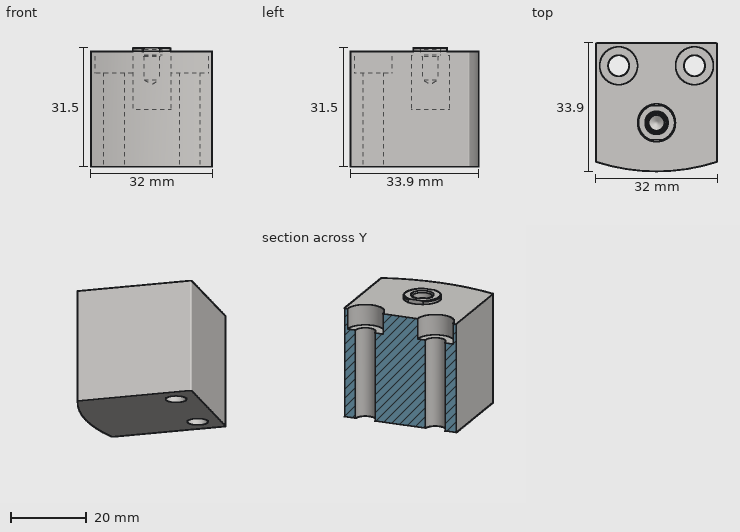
import cadquery as cq

WIDTH = 32.0
HEIGHT = 30.5
BACK_Y = 21.05
CROWN_Y = -12.85
FRONT_CORNER_Y = -10.3
EDGE_RADIUS = 0.4

MOUNT_SPACING = 20.0
MOUNT_BACK_OFFSET = 6.0
MOUNT_Y = BACK_Y - MOUNT_BACK_OFFSET
MOUNT_DIAMETER = 5.5
COUNTERBORE_DIAMETER = 10.0
COUNTERBORE_DEPTH = 5.7

ROD_DIAMETER = 10.0
ROD_PROJECTION = 1.0
ROD_SEAT_DEPTH = 15.25
ROD_TOP = HEIGHT + ROD_PROJECTION
ROD_BOTTOM = HEIGHT - ROD_SEAT_DEPTH
ROD_CHAMFER = 0.25
FLATS_WIDTH = 9.0
FLATS_LENGTH = 2.0

SOCKET_MOUTH_DIAMETER = 6.1
SOCKET_DIAMETER = 5.3
SOCKET_STEP_DEPTH = 1.9
STEP_CONE_DIAMETER = 5.02
DRILL_DIAMETER = 4.15
DRILL_DEPTH = 8.48
DRILL_POINT_HEIGHT = 1.2


def make_housing():
    """Block with a curved front, two mounting holes and the rod bore."""
    half_width = WIDTH / 2
    block = (
        cq.Workplane("XY")
        .moveTo(-half_width, BACK_Y)
        .lineTo(-half_width, FRONT_CORNER_Y)
        .threePointArc((0, CROWN_Y), (half_width, FRONT_CORNER_Y))
        .lineTo(half_width, BACK_Y)
        .close()
        .extrude(HEIGHT)
        .edges("|Z")
        .fillet(EDGE_RADIUS)
    )
    mount_points = [(side * MOUNT_SPACING / 2, MOUNT_Y) for side in (-1, 1)]
    drilled = (
        block.faces(">Z")
        .workplane(origin=(0, 0, HEIGHT))
        .pushPoints(mount_points)
        .cboreHole(MOUNT_DIAMETER, COUNTERBORE_DIAMETER, COUNTERBORE_DEPTH)
    )
    rod_bore = (
        cq.Workplane("XY", origin=(0, 0, ROD_BOTTOM))
        .circle(ROD_DIAMETER / 2)
        .extrude(ROD_SEAT_DEPTH)
    )
    return drilled.cut(rod_bore)


def make_socket_cutter():
    """Revolved space of the stepped socket, with its countersunk mouth."""
    mouth_radius = SOCKET_MOUTH_DIAMETER / 2
    socket_radius = SOCKET_DIAMETER / 2
    drill_radius = DRILL_DIAMETER / 2
    cone_radius = STEP_CONE_DIAMETER / 2
    cone_height = cone_radius - drill_radius
    mouth_depth = mouth_radius - socket_radius
    profile = [
        (0, ROD_TOP),
        (mouth_radius, ROD_TOP),
        (socket_radius, ROD_TOP - mouth_depth),
        (socket_radius, ROD_TOP - SOCKET_STEP_DEPTH),
        (cone_radius, ROD_TOP - SOCKET_STEP_DEPTH),
        (drill_radius, ROD_TOP - SOCKET_STEP_DEPTH - cone_height),
        (drill_radius, ROD_TOP - DRILL_DEPTH),
        (0, ROD_TOP - DRILL_DEPTH - DRILL_POINT_HEIGHT),
    ]
    return cq.Workplane("XZ").polyline(profile).close().revolve(360, (0, 0), (0, 1))


def make_flat_cutter(side):
    """Box that trims the upper rod end to one wrench flat."""
    return (
        cq.Workplane("XY", origin=(0, side * ROD_DIAMETER / 2, ROD_TOP - FLATS_LENGTH))
        .rect(ROD_DIAMETER, ROD_DIAMETER - FLATS_WIDTH)
        .extrude(FLATS_LENGTH)
    )


def make_rod():
    """Chamfered rod with two wrench flats and a stepped socket."""
    rod = (
        cq.Workplane("XY", origin=(0, 0, ROD_BOTTOM))
        .circle(ROD_DIAMETER / 2)
        .extrude(ROD_SEAT_DEPTH + ROD_PROJECTION)
        .faces(">Z")
        .chamfer(ROD_CHAMFER)
    )
    for side in (-1, 1):
        rod = rod.cut(make_flat_cutter(side))
    return rod.cut(make_socket_cutter())


housing = make_housing()
rod = make_rod()

result = cq.Compound.makeCompound([housing.val(), rod.val()])